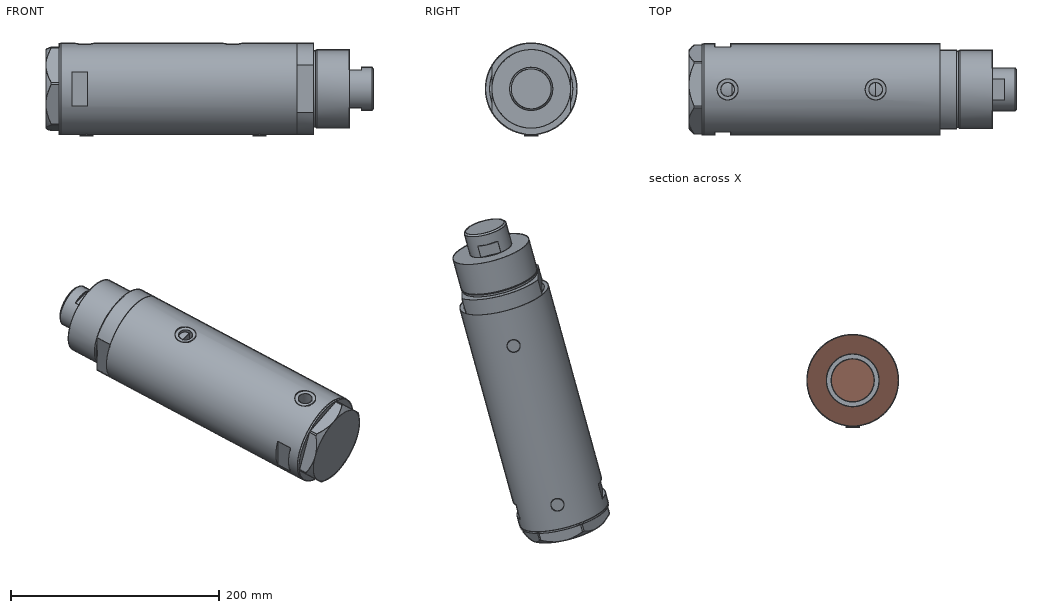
import cadquery as cq
import math


flange_start = 12.5
tube_start = 14.5
plug_end = 41.2
sleeve_start = 179.2
collar_start = 241.2
collar_end = 257.0
neck_end = 258.8
barrel_start = 260.0
barrel_end = 291.2
rod_end = 314.5

hex_sides = 6
hex_across_flats = 75.5
hex_tilt = 7.0
hex_corner_radius = 43.0
hex_face_radius = hex_across_flats / 2
hex_chamfer_length = 5.0
flange_radius = 43.7
plug_radius = 25.2

tube_radius = 44.0
bore_radius = plug_radius
socket_radius = 40.0
flat_start = 25.0
flat_end = 40.0
tube_flat_distance = 41.0
port_positions = [37.0, 179.2]
port_diameter = 13.2
spotface_diameter = 20.0
spotface_depth = 1.3
foot_positions = [39.0, 205.0]
foot_diameter = 12.5
foot_height = 1.07

neck_radius = 36.8
barrel_radius = 37.7
collar_flat_distance = 37.7

rod_radius = 20.8
rod_chamfer = 1.5
rod_flat_distance = 18.2
rod_flat_end = 302.8


def cylinder(start, end, radius):
    """Solid cylinder on the X axis between two stations."""
    return cq.Workplane("YZ", origin=(start, 0, 0)).circle(radius).extrude(end - start)


def y_flat_cutter(start, end, distance, side):
    """Block that cuts a flat at the given distance from the axis, on the +Y or -Y side."""
    depth = tube_radius
    middle = (start + end) / 2
    block = cq.Workplane("XY").box(end - start, depth, 2 * tube_radius)
    return block.translate((middle, side * (distance + depth / 2), 0))


def make_cap():
    circumscribed_diameter = hex_across_flats / math.cos(math.pi / hex_sides)
    head = cq.Workplane("YZ").polygon(hex_sides, circumscribed_diameter).extrude(flange_start)
    head = head.rotate((0, 0, 0), (1, 0, 0), -hex_tilt)
    rounding = (
        cq.Workplane("XY")
        .moveTo(0, 0)
        .lineTo(0, hex_face_radius)
        .lineTo(hex_chamfer_length, hex_corner_radius)
        .lineTo(flange_start, hex_corner_radius)
        .lineTo(flange_start, 0)
        .close()
        .revolve(360, (0, 0, 0), (1, 0, 0))
    )
    flange = cylinder(flange_start, tube_start, flange_radius)
    plug = cylinder(tube_start, plug_end, plug_radius)
    return head.intersect(rounding).union(flange).union(plug)


def make_tube():
    tube = cylinder(tube_start, collar_start, tube_radius)
    for x in foot_positions:
        foot = cq.Workplane("XY", origin=(x, 0, -tube_radius - foot_height)).circle(foot_diameter / 2)
        tube = tube.union(foot.extrude(tube_radius - socket_radius + foot_height))
    tube = tube.cut(cylinder(tube_start, sleeve_start, bore_radius))
    tube = tube.cut(cylinder(sleeve_start, collar_start, socket_radius))
    for side in (-1, 1):
        tube = tube.cut(y_flat_cutter(flat_start, flat_end, tube_flat_distance, side))
    for x in port_positions:
        hole = cq.Workplane("XY", origin=(x, 0, 0)).circle(port_diameter / 2).extrude(tube_radius)
        spotface_floor = cq.Workplane("XY", origin=(x, 0, tube_radius - spotface_depth))
        spotface = spotface_floor.circle(spotface_diameter / 2).extrude(spotface_depth)
        tube = tube.cut(hole).cut(spotface)
    return tube


def make_gland():
    gland = (
        cq.Workplane("XY")
        .moveTo(sleeve_start, rod_radius)
        .lineTo(sleeve_start, socket_radius)
        .lineTo(collar_start, socket_radius)
        .lineTo(collar_start, tube_radius)
        .lineTo(collar_end, tube_radius)
        .lineTo(collar_end, neck_radius)
        .lineTo(neck_end, neck_radius)
        .lineTo(barrel_start, barrel_radius)
        .lineTo(barrel_end, barrel_radius)
        .lineTo(barrel_end, rod_radius)
        .close()
        .revolve(360, (0, 0, 0), (1, 0, 0))
    )
    for side in (-1, 1):
        gland = gland.cut(y_flat_cutter(collar_start, collar_end, collar_flat_distance, side))
    return gland


def make_rod():
    rod = cylinder(plug_end, rod_end, rod_radius).faces(">X").chamfer(rod_chamfer)
    flat_length = rod_flat_end - barrel_end
    cut_depth = rod_radius - rod_flat_distance
    for side in (-1, 1):
        cutter = cq.Workplane("XY").box(flat_length, 2 * rod_radius, cut_depth)
        middle = (barrel_end + flat_length / 2, 0, side * (rod_flat_distance + cut_depth / 2))
        rod = rod.cut(cutter.translate(middle))
    return rod


cap = make_cap()
tube = make_tube()
gland = make_gland()
rod = make_rod()

result = cq.Compound.makeCompound([cap.val(), tube.val(), gland.val(), rod.val()])